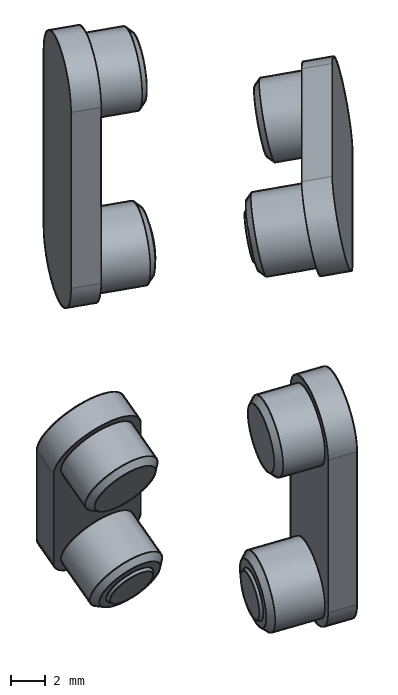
import cadquery as cq

plate_height = 19.0
plate_width = 6.0
plate_thickness = 1.8
end_spacing = plate_height - plate_width

peg_diameter = 5.0
upper_peg_length = 3.0
lower_peg_length = 3.5
peg_chamfer = 0.4

tip_diameter = 3.23
tip_height = 0.19
tip_taper_angle = 35
tip_drop = 0.1


def round_boss(diameter, length, start_y, center_z, taper_angle=0):
    """Round boss from start_y toward +Y, narrowing by taper_angle degrees per side."""
    plane = cq.Plane(origin=(0, start_y, center_z), xDir=(1, 0, 0), normal=(0, 1, 0))
    return cq.Workplane(plane).circle(diameter / 2).extrude(length, taper=taper_angle)


def make_plate():
    return (
        cq.Workplane("XZ")
        .slot2D(plate_height, plate_width, angle=90)
        .extrude(-plate_thickness)
    )


def make_peg(length, center_z):
    peg = round_boss(peg_diameter, length, plate_thickness, center_z)
    return peg.faces(">Y").edges().chamfer(peg_chamfer)


def make_tip(center_z):
    start_y = plate_thickness + lower_peg_length
    return round_boss(tip_diameter, tip_height, start_y, center_z, tip_taper_angle)


result = (
    make_plate()
    .union(make_peg(upper_peg_length, end_spacing / 2))
    .union(make_peg(lower_peg_length, -end_spacing / 2))
    .union(make_tip(-end_spacing / 2 - tip_drop))
)